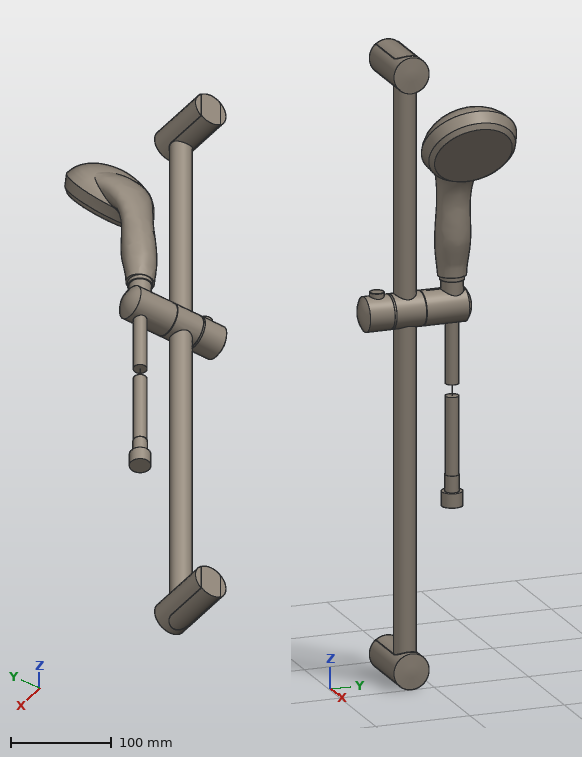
import cadquery as cq
import math


TOTAL_HEIGHT = 657.42
WALL_X = -50.9

RAIL_DIA = 23.0

BRACKET_DIA = 37.4
BRACKET_CORE_DIA = 36.2
BRACKET_SLOT_WIDTH = 23.6
BRACKET_END_X = 18.8
BRACKET_DOME = 1.3
SHELL_SETBACK = 0.4

SLIDER_DIA = 36.0
SLIDER_Z = 389.7
SLIDER_FRONT_Y = -43.2
SLIDER_BACK_Y = 62.0
SLIDER_FRONT_DOME = 5.7
SLIDER_BACK_DOME = 7.0
GROOVE_DEPTH = 0.5
GROOVES = [(16.8, 0.5), (-16.0, 2.0)]
SOCKET_HOLE_DIA = 25.4
SOCKET_HOLE_DEPTH = 8.0
SLIT_WIDTH = 1.5
SLIT_DEPTH = 0.3
SLIT_END_Y = 23.0

BUTTON_DIA = 14.7
BUTTON_TIP_DIA = 13.8
BUTTON_Y = -29.7
BUTTON_RISE = 4.3

HOSE_Y = 50.0
HOSE_DIA = 13.8
HOSE_UPPER_END_Z = 308.0
HOSE_LOWER_TOP_Z = 295.0
FERRULE_DIA = 14.7
FERRULE_TOP_Z = 213.3
NUT_DIA = 21.6
NUT_TOP_Z = 196.0
NUT_BOTTOM_Z = 181.0
CORE_DIA = 0.5

SOCKET_DIA = 22.6
COLLAR_DIA = 25.0
COLLAR_BOTTOM_Z = 416.6
HANDLE_BOTTOM_Z = 421.0
HANDSET_TURN = -2.4
HEAD_TILT = 33.0
HEAD_X = 53.55
HEAD_Z = 573.6
HEAD_DIA = 98.2
HEAD_BACK = 28.0
HEAD_SHOULDER = (36.5, 16.8)
HEAD_CROWN = (14.8, 26.0)
HEAD_FRONT = 16.4
FACE_DIA = 80.0
RING_DIA = 89.4
RING_OFFSET = 12.0

HANDLE_SECTIONS = [
    (0.0, HANDLE_BOTTOM_Z, 0.0, 13.0, 14.7),
    (1.0, 448.0, 0.0, 16.3, 17.6),
    (3.0, 476.0, 5.0, 16.0, 17.8),
    (6.5, 512.0, 15.0, 12.5, 18.0),
    (17.0, 541.0, 36.0, 15.0, 25.0),
    (31.0, 560.0, 48.0, 17.0, 33.5),
    (49.0, 577.0, 55.0, 19.0, 44.0),
]


def rod(dia, z_low, z_high, y=0.0):
    """Vertical cylinder at X = 0."""
    base = cq.Workplane("XY", origin=(0, y, z_low))
    return base.circle(dia / 2).extrude(z_high - z_low)


def make_bracket(z):
    radius = BRACKET_DIA / 2
    side = cq.Workplane("XZ", origin=(0, 0, z))
    body = (
        side.moveTo(WALL_X + SHELL_SETBACK, 0)
        .lineTo(WALL_X + SHELL_SETBACK, radius)
        .lineTo(BRACKET_END_X, radius)
        .lineTo(BRACKET_END_X + BRACKET_DOME, 0)
        .close()
        .revolve(360, (0, 0, 0), (1, 0, 0))
    )
    slot_length = -WALL_X
    slot = (
        cq.Workplane("XY")
        .box(slot_length, BRACKET_SLOT_WIDTH, BRACKET_DIA)
        .translate((-slot_length / 2, 0, z))
        .union(rod(BRACKET_SLOT_WIDTH, z - radius, z + radius))
    )
    core = (
        cq.Workplane("YZ", origin=(WALL_X, 0, z))
        .circle(BRACKET_CORE_DIA / 2)
        .extrude(slot_length + BRACKET_SLOT_WIDTH / 2)
    )
    return body.cut(slot).union(core.intersect(slot))


def dome_midpoint(radius, rise):
    """Distance from the axis and height above the rim, halfway along a dome's arc."""
    half_angle = math.atan(rise / radius)
    dome_radius = (radius**2 + rise**2) / (2 * rise)
    return dome_radius * math.sin(half_angle), rise - dome_radius * (1 - math.cos(half_angle))


def make_slider():
    radius = SLIDER_DIA / 2
    top = SLIDER_Z + radius
    front_x, front_rise = dome_midpoint(radius, SLIDER_FRONT_DOME)
    back_x, back_rise = dome_midpoint(radius, SLIDER_BACK_DOME)
    slider = (
        cq.Workplane("XY", origin=(0, 0, SLIDER_Z))
        .moveTo(0, SLIDER_FRONT_Y - SLIDER_FRONT_DOME)
        .threePointArc((front_x, SLIDER_FRONT_Y - front_rise), (radius, SLIDER_FRONT_Y))
        .lineTo(radius, SLIDER_BACK_Y)
        .threePointArc((back_x, SLIDER_BACK_Y + back_rise), (0, SLIDER_BACK_Y + SLIDER_BACK_DOME))
        .close()
        .revolve(360, (0, 0, 0), (0, 1, 0))
    )
    for y, width in GROOVES:
        ring = (
            cq.Workplane("XZ", origin=(0, y + width / 2, SLIDER_Z))
            .circle(radius + GROOVE_DEPTH)
            .circle(radius - GROOVE_DEPTH)
            .extrude(width)
        )
        slider = slider.cut(ring)
    slider = slider.cut(rod(SOCKET_HOLE_DIA, top - SOCKET_HOLE_DEPTH, top, HOSE_Y))
    slit_length = HOSE_Y - SLIT_END_Y
    slit = (
        cq.Workplane("XY")
        .box(SLIT_WIDTH, slit_length, 2 * SLIT_DEPTH)
        .translate((0, SLIT_END_Y + slit_length / 2, top))
    )
    return slider.cut(slit)


def make_button():
    top = SLIDER_Z + SLIDER_DIA / 2 + BUTTON_RISE
    chamfer = (BUTTON_DIA - BUTTON_TIP_DIA) / 2
    return rod(BUTTON_DIA, SLIDER_Z, top, BUTTON_Y).faces(">Z").chamfer(chamfer)


def make_hose():
    upper = rod(HOSE_DIA, HOSE_UPPER_END_Z, SLIDER_Z, HOSE_Y)
    lower = rod(HOSE_DIA, FERRULE_TOP_Z, HOSE_LOWER_TOP_Z, HOSE_Y)
    ferrule = rod(FERRULE_DIA, NUT_TOP_Z, FERRULE_TOP_Z, HOSE_Y)
    nut = rod(NUT_DIA, NUT_BOTTOM_Z, NUT_TOP_Z, HOSE_Y)
    core = rod(CORE_DIA, FERRULE_TOP_Z, SLIDER_Z, HOSE_Y)
    return upper.union(core).union(lower).union(ferrule).union(nut)


def make_handle():
    wires = []
    for x, z, lean, half_depth, half_width in HANDLE_SECTIONS:
        angle = math.radians(lean)
        plane = cq.Plane(
            origin=(x, HOSE_Y, z),
            xDir=(math.cos(angle), 0, -math.sin(angle)),
            normal=(math.sin(angle), 0, math.cos(angle)),
        )
        wires.append(cq.Workplane(plane).ellipse(half_depth, half_width).val())
    return cq.Workplane(cq.Solid.makeLoft(wires))


def make_head():
    tilt = math.radians(HEAD_TILT)
    plane = cq.Plane(
        origin=(HEAD_X, HOSE_Y, HEAD_Z),
        xDir=(math.sin(tilt), 0, math.cos(tilt)),
        normal=(0, -1, 0),
    )
    return (
        cq.Workplane(plane)
        .moveTo(0, -HEAD_FRONT)
        .lineTo(FACE_DIA / 2, -HEAD_FRONT)
        .lineTo(RING_DIA / 2, -RING_OFFSET)
        .lineTo(HEAD_DIA / 2, 0)
        .spline([HEAD_SHOULDER, HEAD_CROWN, (0, HEAD_BACK)], includeCurrent=True)
        .close()
        .revolve(360, (0, 0, 0), (0, 1, 0))
    )


def make_handset():
    socket = rod(SOCKET_DIA, SLIDER_Z, COLLAR_BOTTOM_Z, HOSE_Y)
    collar = rod(COLLAR_DIA, COLLAR_BOTTOM_Z, HANDLE_BOTTOM_Z, HOSE_Y)
    handset = socket.union(collar).union(make_handle()).union(make_head())
    return handset.rotate((0, HOSE_Y, 0), (0, HOSE_Y, 1), HANDSET_TURN)


lower_bracket_z = BRACKET_DIA / 2
upper_bracket_z = TOTAL_HEIGHT - BRACKET_DIA / 2

result = rod(RAIL_DIA, lower_bracket_z, upper_bracket_z)
for bracket_z in (lower_bracket_z, upper_bracket_z):
    result = result.union(make_bracket(bracket_z))
for piece in (make_slider(), make_button(), make_hose(), make_handset()):
    result = result.union(piece)